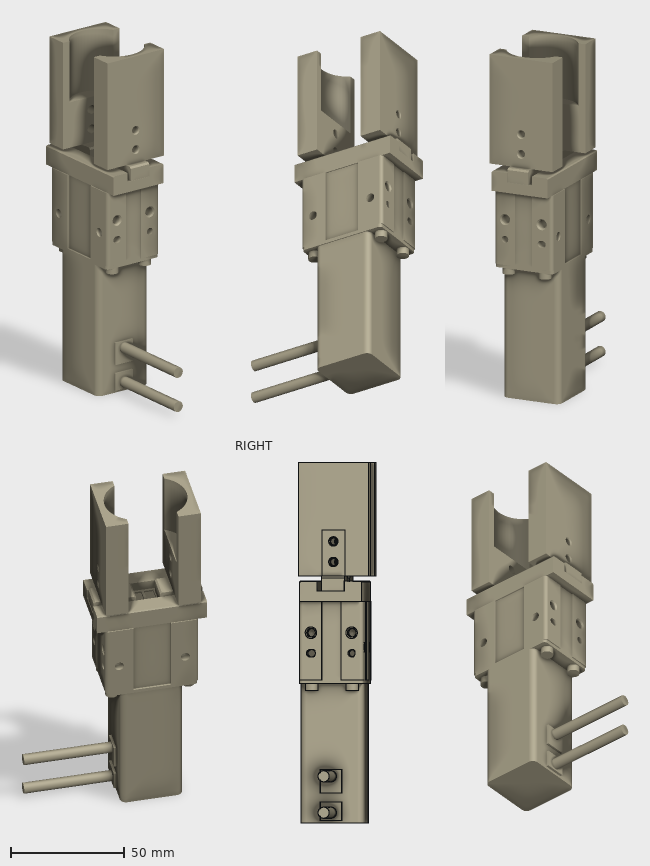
import cadquery as cq
import math

TURN_ANGLE = -4.6

MOTOR_SIDE = 28.1
MOTOR_CORNER_RADIUS = 2.7

BLOCK_LENGTH = 42.3
BLOCK_DEPTH = 28.5
BLOCK_CORNER_RADIUS = 1.6
BLOCK_BOTTOM = 61.8
RIM_TOP = 63.4
RIM_INSET = 0.5
FACE_GROOVE_WIDTH = 17.0
FACE_GROOVE_DEPTH = 1.0
END_GROOVE_WIDTH = 8.5
MOUNT_HOLE_SPACING = 30.0
MOUNT_HOLE_DIAMETER = 4.1
MOUNT_HOLE_Z = 77.9
END_HOLE_SPACING = 18.0
END_HOLE_DEPTH = 8.0
THREAD_HOLE_DIAMETER = 3.8
THREAD_CHAMFER = 0.6
DRILL_POINT_ANGLE = 118.0
THREAD_HOLE_Z = 84.3
PIN_HOLE_DIAMETER = 3.2
PIN_SLOT_LENGTH = 4.0
PIN_HOLE_Z = 75.2
SCREW_HEAD_DIAMETER = 5.6
SCREW_HEAD_HEIGHT = 3.0
SCREW_SPACING = 34.8

PLATE_LENGTH = 50.0
PLATE_DEPTH = 27.6
PLATE_BOTTOM = 98.0
PLATE_TOP = 107.1
PLATE_CHAMFER = 0.5
SLOT_WIDTH = 12.1
SLOT_FLOOR = 102.8
LEVER_POCKET_LENGTH = 4.3
LEVER_POCKET_WIDTH = 9.9
LEVER_POCKET_GAP = 1.1
LEVER_POCKET_DEPTH = 0.8

CABLE_DIAMETER = 5.0
CABLE_END = 55.2
CABLE_Y = -0.6
CABLE_HEIGHTS = (4.6, 20.7)
GLAND_WIDTH = 9.5
GLAND_THICKNESS = 1.1
GLAND_SPANS = ((1.3, 9.4), (13.4, 23.8))

FINGER_WIDTH = 10.2
FINGER_Y = (SLOT_WIDTH - FINGER_WIDTH) / 2
FINGER_OUTER_END = 24.7
FINGER_INNER_END = 5.5
FINGER_BASE_TOP = 109.3
FINGER_TOP = 129.8
FINGER_POST_THICKNESS = 5.0
FINGER_CHAMFER = 0.8
FINGER_HOLE_DIAMETER = 3.2
FINGER_HOLE_CHAMFER = 0.5
FINGER_HOLE_HEIGHTS = (115.5, 124.6)

JAW_TOP = 159.6
JAW_OUTER_FACE = 21.5
JAW_INNER_FACE = 11.3
JAW_WIDTH = 31.1
JAW_HOLE_DIAMETER = 4.1
GRIP_RADIUS = 13.7
GRIP_DEPTH = 7.3
GRIP_FLOOR = 130.7


def block(x_span, y_span, z_span):
    """Box between the given limits."""
    size = [span[1] - span[0] for span in (x_span, y_span, z_span)]
    corner = (x_span[0], y_span[0], z_span[0])
    return cq.Workplane("XY").box(*size, centered=False).translate(corner)


def centred_block(length, width, z_span):
    """Box centred on the Z axis."""
    return block((-length / 2, length / 2), (-width / 2, width / 2), z_span)


def rod_along_x(diameter, x_span, y, z):
    """Cylinder parallel to X."""
    radius = diameter / 2
    return cq.Workplane("YZ", origin=(x_span[0], y, z)).circle(radius).extrude(x_span[1] - x_span[0])


def chamfer_cone(diameter, chamfer, x, y, z):
    """Cutter for a 45 degree chamfer on a hole that enters toward +X from the face at x."""
    axis = cq.Vector(1, 0, 0)
    radius = diameter / 2
    cone = cq.Solid.makeCone(radius + chamfer, radius, chamfer, cq.Vector(x, y, z), axis)
    return cq.Workplane(obj=cone)


def drill_point(diameter, x, y, z):
    """Conical tip at the bottom of a drilled hole, pointing toward +X."""
    tip_length = diameter / 2 / math.tan(math.radians(DRILL_POINT_ANGLE / 2))
    cone = cq.Solid.makeCone(diameter / 2, 0, tip_length, cq.Vector(x, y, z), cq.Vector(1, 0, 0))
    return cq.Workplane(obj=cone)


def both_ends(shape):
    """The shape together with its mirror image across X = 0."""
    return shape.union(shape.mirror("YZ"))


def make_gripper_block():
    """Block with a narrower bottom rim and a shallow groove down the middle of each side."""
    rim_length = BLOCK_LENGTH - 2 * RIM_INSET
    rim = centred_block(rim_length, BLOCK_DEPTH, (BLOCK_BOTTOM, RIM_TOP))
    body = centred_block(BLOCK_LENGTH, BLOCK_DEPTH, (RIM_TOP, PLATE_BOTTOM))
    rim = rim.edges("|Z").fillet(BLOCK_CORNER_RADIUS)
    body = body.edges("|Z").fillet(BLOCK_CORNER_RADIUS)
    grooves_z = (RIM_TOP, PLATE_BOTTOM)
    half_groove = FACE_GROOVE_WIDTH / 2
    face_y = BLOCK_DEPTH / 2
    face_groove = block((-half_groove, half_groove), (-face_y, FACE_GROOVE_DEPTH - face_y), grooves_z)
    half_groove = END_GROOVE_WIDTH / 2
    end_x = BLOCK_LENGTH / 2
    end_groove = block((-end_x, RIM_INSET - end_x), (-half_groove, half_groove), grooves_z)
    body = body.cut(face_groove).cut(face_groove.mirror("XZ")).cut(both_ends(end_groove))
    return body.union(rim).cut(mount_holes()).cut(both_ends(end_holes()))


def mount_holes():
    """Two holes that pass through the block along Y."""
    return (
        cq.Workplane("XZ", origin=(0, BLOCK_DEPTH / 2, MOUNT_HOLE_Z))
        .pushPoints([(-MOUNT_HOLE_SPACING / 2, 0), (MOUNT_HOLE_SPACING / 2, 0)])
        .circle(MOUNT_HOLE_DIAMETER / 2)
        .extrude(BLOCK_DEPTH)
    )


def end_holes():
    """Two threaded holes, a pin hole and a pin slot in the -X end of the block."""
    end_x = -BLOCK_LENGTH / 2
    y = END_HOLE_SPACING / 2
    x_span = (end_x, end_x + END_HOLE_DEPTH)
    holes = rod_along_x(PIN_HOLE_DIAMETER, x_span, y, PIN_HOLE_Z)
    pin_slot = (
        cq.Workplane("YZ", origin=(end_x, -y, PIN_HOLE_Z))
        .slot2D(PIN_SLOT_LENGTH, PIN_HOLE_DIAMETER)
        .extrude(END_HOLE_DEPTH)
    )
    holes = holes.union(pin_slot)
    for side_y in (-y, y):
        holes = holes.union(rod_along_x(THREAD_HOLE_DIAMETER, x_span, side_y, THREAD_HOLE_Z))
        holes = holes.union(chamfer_cone(THREAD_HOLE_DIAMETER, THREAD_CHAMFER, end_x, side_y, THREAD_HOLE_Z))
        holes = holes.union(drill_point(THREAD_HOLE_DIAMETER, x_span[1], side_y, THREAD_HOLE_Z))
    return holes


def make_guide_plate():
    """Plate with a through slot for the fingers and two shallow lever pockets in the slot floor."""
    plate = centred_block(PLATE_LENGTH, PLATE_DEPTH, (PLATE_BOTTOM, PLATE_TOP))
    plate = plate.faces(">Z").edges("|X").chamfer(PLATE_CHAMFER)
    plate = plate.cut(centred_block(PLATE_LENGTH, SLOT_WIDTH, (SLOT_FLOOR, PLATE_TOP)))
    pocket_x = (LEVER_POCKET_GAP / 2, LEVER_POCKET_GAP / 2 + LEVER_POCKET_LENGTH)
    pocket_y = (-LEVER_POCKET_WIDTH / 2, LEVER_POCKET_WIDTH / 2)
    pocket = block(pocket_x, pocket_y, (SLOT_FLOOR - LEVER_POCKET_DEPTH, SLOT_FLOOR))
    return plate.cut(both_ends(pocket))


def make_screw_heads():
    """Four screw heads under the block, beside the motor."""
    return (
        cq.Workplane("XY", origin=(0, 0, BLOCK_BOTTOM - SCREW_HEAD_HEIGHT))
        .rect(SCREW_SPACING, END_HOLE_SPACING, forConstruction=True)
        .vertices()
        .circle(SCREW_HEAD_DIAMETER / 2)
        .extrude(SCREW_HEAD_HEIGHT)
    )


def make_cables():
    """Two cables leaving the +X side of the motor through thin glands."""
    motor_x = MOTOR_SIDE / 2
    gland_x = (motor_x, motor_x + GLAND_THICKNESS)
    gland_y = (CABLE_Y - GLAND_WIDTH / 2, CABLE_Y + GLAND_WIDTH / 2)
    cables = cq.Workplane("XY")
    for height, gland_z in zip(CABLE_HEIGHTS, GLAND_SPANS):
        cables = cables.union(block(gland_x, gland_y, gland_z))
        cables = cables.union(rod_along_x(CABLE_DIAMETER, (motor_x, CABLE_END), CABLE_Y, height))
    return cables


def make_housing():
    """Motor, gripper block, guide plate, screw heads and cables; the motor is flush with the block at -Y."""
    motor = centred_block(MOTOR_SIDE, MOTOR_SIDE, (0, BLOCK_BOTTOM))
    motor = motor.translate((0, (MOTOR_SIDE - BLOCK_DEPTH) / 2, 0))
    motor = motor.edges("|Z").fillet(MOTOR_CORNER_RADIUS)
    housing = motor.union(make_gripper_block()).union(make_guide_plate())
    return housing.union(make_screw_heads()).union(make_cables())


def make_finger():
    """L-shaped finger of the -X side: a base in the slot and a post let into the jaw."""
    y_span = (FINGER_Y - FINGER_WIDTH / 2, FINGER_Y + FINGER_WIDTH / 2)
    base = block((-FINGER_OUTER_END, -FINGER_INNER_END), y_span, (SLOT_FLOOR, FINGER_BASE_TOP))
    base = base.faces(">Z").edges("|Y").chamfer(FINGER_CHAMFER)
    post_x = (-JAW_OUTER_FACE, FINGER_POST_THICKNESS - JAW_OUTER_FACE)
    finger = base.union(block(post_x, y_span, (FINGER_BASE_TOP, FINGER_TOP)))
    for height in FINGER_HOLE_HEIGHTS:
        finger = finger.cut(rod_along_x(FINGER_HOLE_DIAMETER, post_x, FINGER_Y, height))
        finger = finger.cut(
            chamfer_cone(FINGER_HOLE_DIAMETER, FINGER_HOLE_CHAMFER, -JAW_OUTER_FACE, FINGER_Y, height)
        )
    return finger


def make_jaw():
    """Jaw of the -X side, with a round grip pocket and a recess that fits the finger."""
    x_span = (-JAW_OUTER_FACE, -JAW_INNER_FACE)
    y_span = (FINGER_Y - JAW_WIDTH / 2, FINGER_Y + JAW_WIDTH / 2)
    jaw = block(x_span, y_span, (FINGER_BASE_TOP, JAW_TOP))
    grip_axis_x = GRIP_RADIUS - GRIP_DEPTH - JAW_INNER_FACE
    grip = (
        cq.Workplane("XY", origin=(grip_axis_x, FINGER_Y, GRIP_FLOOR))
        .circle(GRIP_RADIUS)
        .extrude(JAW_TOP - GRIP_FLOOR)
    )
    recess_x = (-JAW_OUTER_FACE, FINGER_POST_THICKNESS - JAW_OUTER_FACE)
    recess_y = (FINGER_Y - FINGER_WIDTH / 2, FINGER_Y + FINGER_WIDTH / 2)
    jaw = jaw.cut(grip).cut(block(recess_x, recess_y, (FINGER_BASE_TOP, FINGER_TOP)))
    for height in FINGER_HOLE_HEIGHTS:
        jaw = jaw.cut(rod_along_x(JAW_HOLE_DIAMETER, x_span, FINGER_Y, height))
    return jaw


def turned(body):
    return body.rotate((0, 0, 0), (0, 0, 1), TURN_ANGLE).val()


housing = make_housing()
finger = make_finger()
jaw = make_jaw()
bodies = [housing, finger, finger.mirror("YZ"), jaw, jaw.mirror("YZ")]
result = cq.Compound.makeCompound([turned(body) for body in bodies])